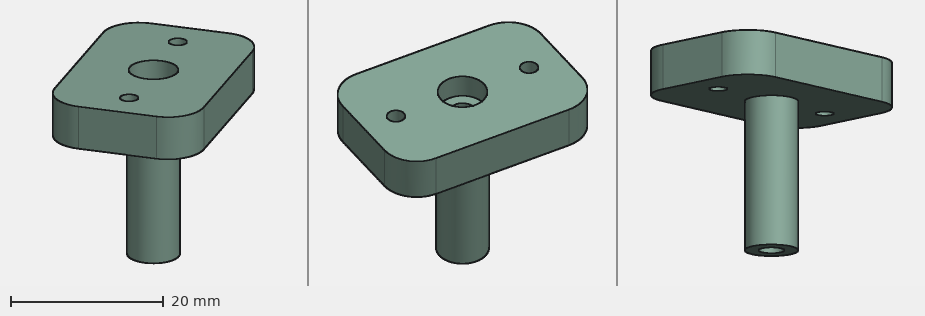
import cadquery as cq

plate_width = 20.6
plate_length = 30.1
plate_thickness = 6.0
corner_radius = 4.95

overall_height = 26.0
stem_diameter = 7.0
stem_length = overall_height - plate_thickness
bore_diameter = 3.4

counterbore_diameter = 6.5
counterbore_depth = 3.25

mounting_hole_diameter = 2.4
mounting_hole_spacing = 20.23


def make_body():
    """Rounded plate with the solid stem hanging from its underside."""
    plate = (
        cq.Workplane("XY")
        .rect(plate_width, plate_length)
        .extrude(plate_thickness)
        .edges("|Z")
        .fillet(corner_radius)
    )
    stem = cq.Workplane("XY").circle(stem_diameter / 2).extrude(-stem_length)
    return plate.union(stem)


def cut_holes(body):
    """Stepped bore through the stem and the two plain mounting holes."""
    top_plane = cq.Workplane("XY", origin=(0, 0, plate_thickness))
    bore = top_plane.circle(bore_diameter / 2).extrude(-overall_height)
    counterbore = top_plane.circle(counterbore_diameter / 2).extrude(-counterbore_depth)
    mounting_holes = (
        top_plane
        .rarray(0.3, mounting_hole_spacing, 1, 2)
        .circle(mounting_hole_diameter / 2)
        .extrude(-plate_thickness)
    )
    return body.cut(bore).cut(counterbore).cut(mounting_holes)


result = cut_holes(make_body())